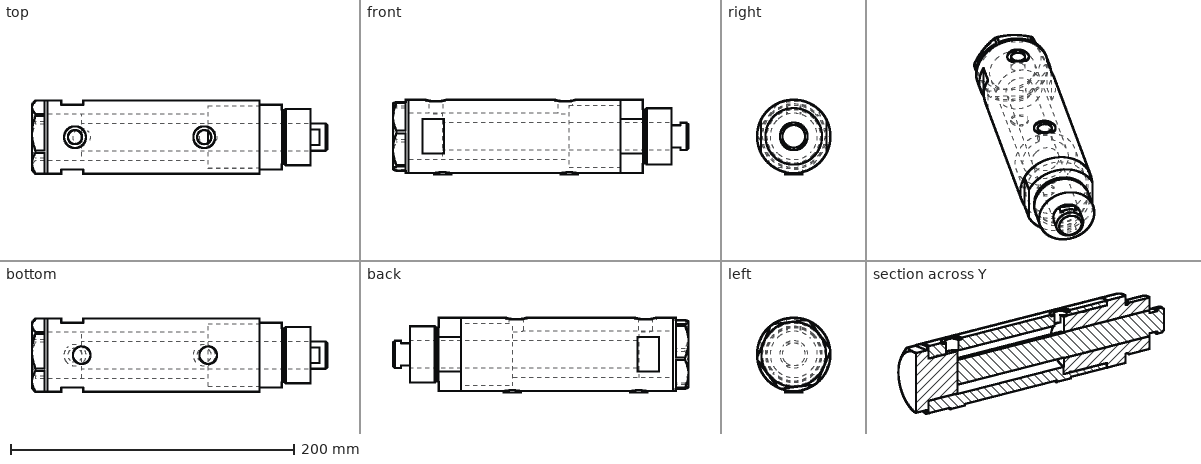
import cadquery as cq
import math


body_radius = 26.0
bore_radius = 16.5
rod_radius = 9.75
wrench_flat_half_width = 23.0

hex_end = 9.0
tube_start = 11.0
tube_end = 161.0
head_shoulder = 176.7
nose_end = 196.9
rod_tip = 209.02

hex_half_width = 23.0
hex_corner_angle = 53.1
cap_face_radius = 22.9
cap_chamfer_length = 2.5
cap_plug_end = 35.2

port_positions = (30.5, 121.8)
port_radius = 5.0
spotface_radius = 7.7
spotface_level = 24.8
stub_positions = (35.2, 124.6)
stub_radius = 6.2
stub_bottom = -27.1
tube_flat_start = 20.9
tube_flat_length = 15.3

spigot_start = 124.4
spigot_radius = 22.0
nose_radius = 20.0
undercut_radius = 18.8
undercut_start = 177.2
undercut_end = 178.2
undercut_rim_radius = 19.25
undercut_rim_end = 178.8
nose_cone_end = 179.6

rod_start = cap_plug_end
rod_flat_half_width = 8.0
rod_flat_end = 203.1
rod_chamfer = 1.7


def cylinder_x(radius, start, end):
    """Solid cylinder on the X axis between two stations."""
    return cq.Workplane("YZ", origin=(start, 0, 0)).circle(radius).extrude(end - start)


def cylinder_z(radius, x, bottom, top):
    """Solid vertical cylinder at a station on the X axis."""
    return cq.Workplane("XY", origin=(x, 0, bottom)).circle(radius).extrude(top - bottom)


def revolve_profile(points):
    """Solid of revolution about X from (x, radius) points."""
    return cq.Workplane("XY").polyline(points).close().revolve(360, (0, 0, 0), (1, 0, 0))


def flat_pair(start, end, half_width, axis):
    """Two blocks that cut parallel flats, facing +/-Y or +/-Z, on a round part."""
    length = end - start
    width = 2 * body_radius
    outer_bar = cq.Workplane("XY").box(length, 2 * width, width)
    kept_bar = cq.Workplane("XY").box(length, 2 * half_width, width)
    blocks = outer_bar.cut(kept_bar)
    if axis == "Z":
        blocks = blocks.rotate((0, 0, 0), (1, 0, 0), 90)
    return blocks.translate(((start + end) / 2, 0, 0))


def make_cap():
    """Hexagonal end cap with a flange and a plug that fills the end of the bore."""
    hex_diameter = 2 * hex_half_width / math.cos(math.radians(30))
    hexagon = cq.Workplane("YZ").polygon(6, hex_diameter).extrude(hex_end)
    hexagon = hexagon.rotate((0, 0, 0), (1, 0, 0), hex_corner_angle)
    chamfered_blank = revolve_profile([
        (0, 0),
        (0, cap_face_radius),
        (cap_chamfer_length, body_radius),
        (hex_end, body_radius),
        (hex_end, 0),
    ])
    hexagon = hexagon.intersect(chamfered_blank)
    flange_and_plug = revolve_profile([
        (hex_end, 0),
        (hex_end, body_radius),
        (tube_start, body_radius),
        (tube_start, bore_radius),
        (cap_plug_end, bore_radius),
        (cap_plug_end, 0),
    ])
    return hexagon.union(flange_and_plug)


def make_tube():
    """Tube with a stepped bore, two ports on top, two stubs below and a pair of wrench flats."""
    tube = cylinder_x(body_radius, tube_start, tube_end)
    for x in stub_positions:
        tube = tube.union(cylinder_z(stub_radius, x, stub_bottom, 0))
    tube = tube.cut(cylinder_x(bore_radius, tube_start, tube_end))
    tube = tube.cut(cylinder_x(spigot_radius, spigot_start, tube_end))
    tube_flat_end = tube_flat_start + tube_flat_length
    tube = tube.cut(flat_pair(tube_flat_start, tube_flat_end, wrench_flat_half_width, "Y"))
    for x in port_positions:
        tube = tube.cut(cylinder_z(port_radius, x, 0, body_radius))
        tube = tube.cut(cylinder_z(spotface_radius, x, spotface_level, body_radius))
    return tube


def make_head():
    """Front head with a spigot in the tube, wrench flats, an undercut nose and a rod bore."""
    head = revolve_profile([
        (spigot_start, rod_radius),
        (spigot_start, spigot_radius),
        (tube_end, spigot_radius),
        (tube_end, body_radius),
        (head_shoulder, body_radius),
        (head_shoulder, undercut_rim_radius),
        (undercut_start, undercut_radius),
        (undercut_end, undercut_radius),
        (undercut_rim_end, undercut_rim_radius),
        (nose_cone_end, nose_radius),
        (nose_end, nose_radius),
        (nose_end, rod_radius),
    ])
    return head.cut(flat_pair(tube_end, head_shoulder, wrench_flat_half_width, "Y"))


def make_rod():
    """Rod with a chamfered tip and a pair of flats between the nose and the tip."""
    rod = cylinder_x(rod_radius, rod_start, rod_tip).faces(">X").chamfer(rod_chamfer)
    return rod.cut(flat_pair(nose_end, rod_flat_end, rod_flat_half_width, "Z"))


cap = make_cap()
tube = make_tube()
head = make_head()
rod = make_rod()

result = cq.Compound.makeCompound([cap.val(), tube.val(), head.val(), rod.val()])